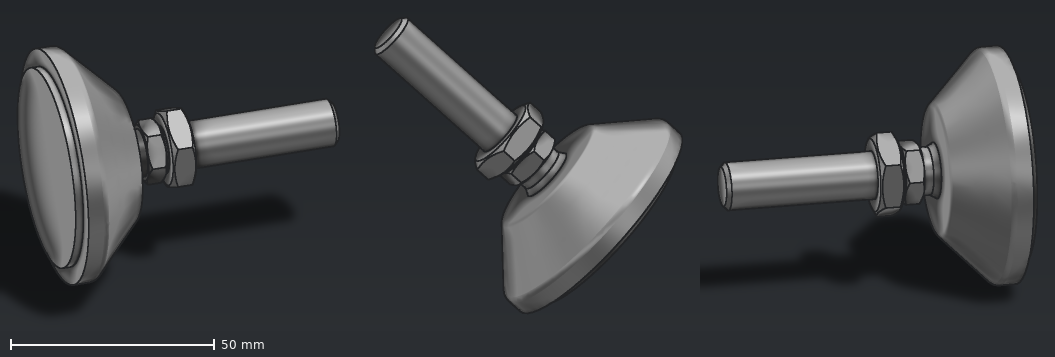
import cadquery as cq
import math

TOTAL_LENGTH = 73.9

FOOT_DIAMETER = 59.0
FOOT_HEIGHT = 20.0
PAD_DIAMETER = 50.0
PAD_HEIGHT = 2.0
RIM_TOP = 6.9
CONE_ANGLE = 45.0
FOOT_FILLET = 2.0

STUD_DIAMETER = 12.0
STUD_CHAMFER = 1.1
COLLAR_DIAMETER = 14.0
COLLAR_TOP = 21.7
STUD_HEX_FLATS = 14.05
STUD_HEX_BOTTOM = 24.2
STUD_HEX_HEIGHT = 4.65
RELIEF_DIAMETER = 11.0
RELIEF_TAPER = (STUD_DIAMETER - RELIEF_DIAMETER) / 2

NUT_FLATS = 19.0
NUT_BOTTOM = 29.85
NUT_HEIGHT = 6.0
NUT_FACE_DIAMETER = 18.0

HEX_CHAMFER_ANGLE = 30.0


def revolve_profile(profile):
    """Turn a closed (radius, Y) profile around the Y axis."""
    return profile.close().revolve(360, (0, 0, 0), (0, 1, 0))


def make_hex(flats, face_diameter, bottom, height, corner_angle):
    """Hexagon along Y with both ends chamfered down to a circular face."""
    corner_radius = flats / 2 / math.cos(math.radians(30))
    face_radius = face_diameter / 2
    chamfer_height = (corner_radius - face_radius) * math.tan(math.radians(HEX_CHAMFER_ANGLE))
    top = bottom + height
    corners = [
        (
            corner_radius * math.cos(math.radians(corner_angle + 60 * i)),
            corner_radius * math.sin(math.radians(corner_angle + 60 * i)),
        )
        for i in range(6)
    ]
    prism = cq.Workplane("XZ", origin=(0, bottom, 0)).polyline(corners).close().extrude(-height)
    envelope = revolve_profile(
        cq.Workplane("XY")
        .moveTo(0, bottom)
        .lineTo(face_radius, bottom)
        .lineTo(corner_radius, bottom + chamfer_height)
        .lineTo(corner_radius, top - chamfer_height)
        .lineTo(face_radius, top)
        .lineTo(0, top)
    )
    return prism.intersect(envelope)


def make_foot():
    """Conical foot with rounded shoulders and a stepped pad underneath."""
    rim_radius = FOOT_DIAMETER / 2
    top_radius = rim_radius - (FOOT_HEIGHT - RIM_TOP) / math.tan(math.radians(CONE_ANGLE))
    cone = revolve_profile(
        cq.Workplane("XY")
        .moveTo(0, PAD_HEIGHT)
        .lineTo(rim_radius, PAD_HEIGHT)
        .lineTo(rim_radius, RIM_TOP)
        .lineTo(top_radius, FOOT_HEIGHT)
        .lineTo(0, FOOT_HEIGHT)
    )
    shoulder_box = cq.selectors.BoxSelector(
        (-FOOT_DIAMETER, (PAD_HEIGHT + RIM_TOP) / 2, -FOOT_DIAMETER),
        (FOOT_DIAMETER, TOTAL_LENGTH, FOOT_DIAMETER),
    )
    cone = cone.edges("%CIRCLE").edges(shoulder_box).fillet(FOOT_FILLET)
    pad = cq.Workplane("XZ").circle(PAD_DIAMETER / 2).extrude(-PAD_HEIGHT)
    return cone.union(pad)


def make_stud():
    """Threaded stud with a flared collar, a wrench hexagon and a relief groove."""
    radius = STUD_DIAMETER / 2
    relief_radius = RELIEF_DIAMETER / 2
    hex_top = STUD_HEX_BOTTOM + STUD_HEX_HEIGHT
    shaft = revolve_profile(
        cq.Workplane("XY")
        .moveTo(0, FOOT_HEIGHT)
        .lineTo(COLLAR_DIAMETER / 2, FOOT_HEIGHT)
        .lineTo(radius, COLLAR_TOP)
        .lineTo(radius, hex_top)
        .lineTo(relief_radius, hex_top + RELIEF_TAPER)
        .lineTo(relief_radius, NUT_BOTTOM)
        .lineTo(radius, NUT_BOTTOM)
        .lineTo(radius, TOTAL_LENGTH - STUD_CHAMFER)
        .lineTo(radius - STUD_CHAMFER, TOTAL_LENGTH)
        .lineTo(0, TOTAL_LENGTH)
    )
    wrench_hex = make_hex(STUD_HEX_FLATS, STUD_HEX_FLATS, STUD_HEX_BOTTOM, STUD_HEX_HEIGHT, corner_angle=0)
    return shaft.union(wrench_hex)


def make_nut():
    """Lock nut bored to the stud diameter."""
    blank = make_hex(NUT_FLATS, NUT_FACE_DIAMETER, NUT_BOTTOM, NUT_HEIGHT, corner_angle=30)
    bore = cq.Workplane("XZ", origin=(0, NUT_BOTTOM, 0)).circle(STUD_DIAMETER / 2).extrude(-NUT_HEIGHT)
    return blank.cut(bore)


foot = make_foot()
stud = make_stud()
nut = make_nut()

result = cq.Compound.makeCompound([foot.val(), stud.val(), nut.val()])